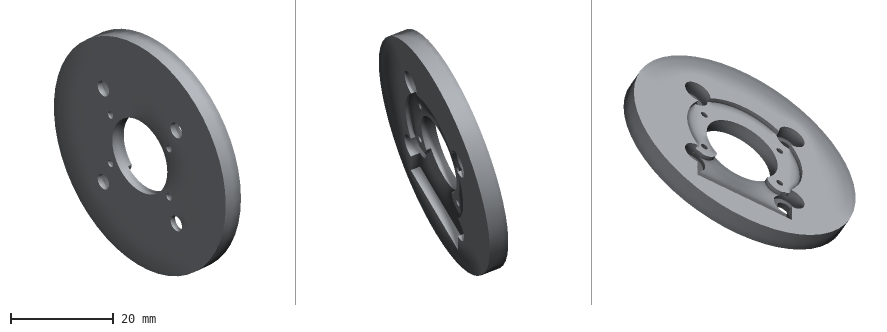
import cadquery as cq

disc_diameter = 50.0
thickness = 4.0
bore_diameter = 16.0

large_hole_diameter = 3.3
large_hole_spacing = 21.2
small_hole_diameter = 1.5
small_hole_spacing_x = 17.0
small_hole_spacing_z = 11.0

counterbore_diameter = 5.7
counterbore_floor = 1.2

seat_diameter = 26.0
seat_floor = 3.0

pocket_width = large_hole_spacing
pocket_bottom = -18.0
pocket_top = -small_hole_spacing_z / 2
pocket_floor = 2.0
pad_diameter = 5.7


def hole_group(spacing_x, spacing_z, diameter, depth=thickness):
    """Four round cutters, sunk from the back, at the corners of a centred rectangle."""
    return (
        cq.Workplane("XZ")
        .rect(spacing_x, spacing_z, forConstruction=True)
        .vertices()
        .circle(diameter / 2)
        .extrude(depth)
    )


def lower_pocket():
    """Cutter for the pocket below the bore, leaving the pads standing."""
    depth = thickness - pocket_floor
    pocket = (
        cq.Workplane("XZ")
        .center(0, (pocket_top + pocket_bottom) / 2)
        .rect(pocket_width, pocket_top - pocket_bottom)
        .extrude(depth)
    )
    pads = hole_group(small_hole_spacing_x, small_hole_spacing_z, pad_diameter, depth)
    return pocket.cut(pads)


disc = cq.Workplane("XZ").circle(disc_diameter / 2).circle(bore_diameter / 2).extrude(thickness)
seat = cq.Workplane("XZ").circle(seat_diameter / 2).extrude(thickness - seat_floor)
large_holes = hole_group(large_hole_spacing, large_hole_spacing, large_hole_diameter)
counterbores = hole_group(
    large_hole_spacing, large_hole_spacing, counterbore_diameter, thickness - counterbore_floor
)
small_holes = hole_group(small_hole_spacing_x, small_hole_spacing_z, small_hole_diameter)

result = disc.cut(seat).cut(lower_pocket()).cut(large_holes).cut(counterbores).cut(small_holes)